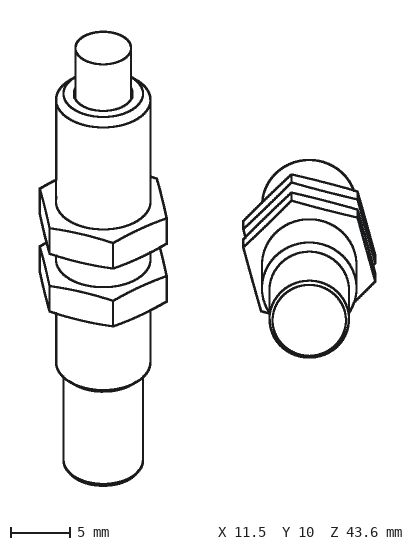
import cadquery as cq
import math

total_height = 43.6
sleeve_diameter = 8.0
stem_diameter = 6.7
stem_length = 10.0
stem_chamfer_width = 0.25
stem_chamfer_height = 0.4
sleeve_top = 38.6
sleeve_chamfer = (sleeve_diameter - stem_diameter) / 2

plunger_diameter = 4.7
plunger_tip_height = 0.25
plunger_clearance = 0.15
clearance_depth = 0.45

nut_across_flats = 10.0
nut_across_corners = nut_across_flats / math.cos(math.radians(30))
nut_height = 3.0
nut_face_diameter = 9.85
nut_chamfer_height = 0.17
lower_nut_bottom = 18.3
nut_spacing = 2 * nut_height
nut_bottoms = [lower_nut_bottom, lower_nut_bottom + nut_spacing]


def make_sleeve():
    """Revolve the sleeve, stem and conical-tipped plunger as one body."""
    sleeve_radius = sleeve_diameter / 2
    stem_radius = stem_diameter / 2
    plunger_radius = plunger_diameter / 2
    mouth_radius = plunger_radius + plunger_clearance
    groove_floor = sleeve_top - clearance_depth
    profile = [
        (0, 0),
        (stem_radius - stem_chamfer_width, 0),
        (stem_radius, stem_chamfer_height),
        (stem_radius, stem_length),
        (sleeve_radius, stem_length + sleeve_chamfer),
        (sleeve_radius, sleeve_top - sleeve_chamfer),
        (sleeve_radius - sleeve_chamfer, sleeve_top),
        (mouth_radius, sleeve_top),
        (mouth_radius, groove_floor),
        (plunger_radius, groove_floor),
        (plunger_radius, total_height - plunger_tip_height),
        (0, total_height),
    ]
    return cq.Workplane("XZ").polyline(profile).close().revolve(360, (0, 0), (0, 1))


def make_nut(bottom):
    """Build a hexagonal nut with both faces chamfered and corners along X."""
    hexagon = cq.Workplane("XY").polygon(6, nut_across_corners).extrude(nut_height)
    face_radius = nut_face_diameter / 2
    corner_radius = nut_across_corners / 2
    envelope_profile = [
        (0, 0),
        (face_radius, 0),
        (corner_radius, nut_chamfer_height),
        (corner_radius, nut_height - nut_chamfer_height),
        (face_radius, nut_height),
        (0, nut_height),
    ]
    envelope = cq.Workplane("XZ").polyline(envelope_profile).close().revolve(360, (0, 0), (0, 1))
    bore = cq.Workplane("XY").circle(sleeve_diameter / 2).extrude(nut_height)
    return hexagon.intersect(envelope).cut(bore).translate((0, 0, bottom))


sleeve = make_sleeve()
nuts = [make_nut(bottom) for bottom in nut_bottoms]

result = cq.Compound.makeCompound([sleeve.val(), *[nut.val() for nut in nuts]])